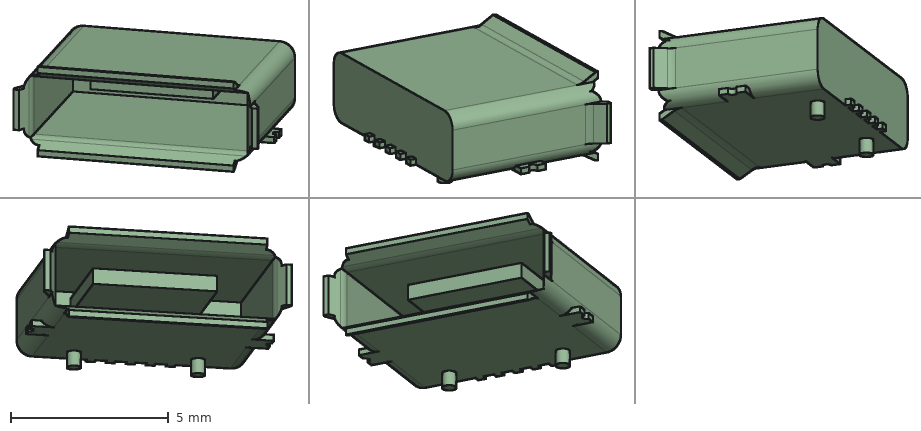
import cadquery as cq
import math

shell_width = 7.42
shell_height = 2.34
shell_length = 5.64
corner_radius = 0.5
wall = 0.2
mid_height = shell_height / 2

overall_width = 8.0
lip_angle = math.radians(30)
lip_rise = 0.31
outer_bend_start = 0.77
outer_bend_radius = 0.51
inner_bend_start = 0.69
inner_bend_radius = 0.6
top_lip_length = shell_width - 2 * corner_radius
side_lip_length = shell_height - 2 * corner_radius

tongue_width = 4.02
tongue_thickness = 0.51
tongue_bottom = 1.42
tongue_front = 2.0

contact_count = 5
contact_pitch = 0.65
contact_width = 0.28
contact_overhang = 0.2
tab_span = 7.82
tab_length = 0.91
tab_center = 2.79
tab_notch_radius = 0.14
peg_diameter = 0.45
peg_spacing = 4.02
peg_center = 4.93
peg_bottom = -0.5


def bent_profile(plane, half_size, bend_start, bend_radius, back):
    """Symmetric outline, straight at the back and bent outward towards the mouth.

    The first plane coordinate is the distance along Y, the second the offset
    from the shell's center line.
    """
    def bend_point(angle):
        along = bend_start - bend_radius * math.sin(angle)
        return along, half_size + bend_radius * (1 - math.cos(angle))

    bend_middle = bend_point(lip_angle / 2)
    bend_end = bend_point(lip_angle)
    mouth_offset = bend_end[1] + bend_end[0] * math.tan(lip_angle)

    def mirrored(point):
        return point[0], -point[1]

    return (
        cq.Workplane(plane)
        .moveTo(back, half_size)
        .lineTo(bend_start, half_size)
        .threePointArc(bend_middle, bend_end)
        .lineTo(0, mouth_offset)
        .lineTo(0, -mouth_offset)
        .lineTo(*mirrored(bend_end))
        .threePointArc(mirrored(bend_middle), (bend_start, -half_size))
        .lineTo(back, -half_size)
        .close()
    )


def box(width, length, height, x_center, y_start, z_start):
    return cq.Workplane("XY").box(width, length, height, centered=(True, False, False)).translate(
        (x_center, y_start, z_start)
    )


side_plane = cq.Plane(origin=(0, 0, mid_height), xDir=(0, 1, 0), normal=(1, 0, 0))
level_plane = cq.Plane(origin=(0, 0, mid_height), xDir=(0, 1, 0), normal=(0, 0, 1))


def make_envelope():
    tube = box(shell_width, shell_length, shell_height, 0, 0, 0).edges("|Y").fillet(corner_radius)
    top_lips = bent_profile(
        side_plane, shell_height / 2, outer_bend_start, outer_bend_radius, shell_length
    ).extrude(top_lip_length / 2, both=True)
    side_lips = bent_profile(
        level_plane, shell_width / 2, outer_bend_start, outer_bend_radius, shell_length
    ).extrude(side_lip_length / 2, both=True)
    trim = box(
        overall_width, shell_length, shell_height + 2 * lip_rise, 0, 0, -lip_rise
    )
    return tube.union(top_lips.union(side_lips).intersect(trim))


def make_cavity():
    """Square-cornered cavity flaring at the mouth, closed by a wall at the back."""
    back = shell_length - wall
    by_height = bent_profile(
        side_plane, shell_height / 2 - wall, inner_bend_start, inner_bend_radius, back
    ).extrude(overall_width, both=True)
    by_width = bent_profile(
        level_plane, shell_width / 2 - wall, inner_bend_start, inner_bend_radius, back
    ).extrude(overall_width, both=True)
    return by_height.intersect(by_width)


def make_tongue():
    tongue_length = shell_length - tongue_front
    return box(tongue_width, tongue_length, tongue_thickness, 0, tongue_front, tongue_bottom)


def add_contacts(body):
    for index in range(contact_count):
        x = (index - (contact_count - 1) / 2) * contact_pitch
        start = shell_length - wall
        body = body.union(box(contact_width, wall + contact_overhang, wall, x, start, 0))
    return body


def add_solder_tabs(body):
    tab_width = (tab_span - top_lip_length) / 2
    for side in (-1, 1):
        x = side * (tab_span - tab_width) / 2
        tab = box(tab_width, tab_length, wall, x, tab_center - tab_length / 2, 0)
        notch = (
            cq.Workplane("XY")
            .center(side * tab_span / 2, tab_center)
            .circle(tab_notch_radius)
            .extrude(wall)
        )
        body = body.union(tab.cut(notch))
    return body


def add_pegs(body):
    pegs = (
        cq.Workplane("XY", origin=(0, peg_center, peg_bottom))
        .pushPoints([(-peg_spacing / 2, 0), (peg_spacing / 2, 0)])
        .circle(peg_diameter / 2)
        .extrude(wall / 2 - peg_bottom)
    )
    return body.union(pegs)


result = make_envelope().cut(make_cavity()).union(make_tongue())
result = add_contacts(result)
result = add_solder_tabs(result)
result = add_pegs(result)